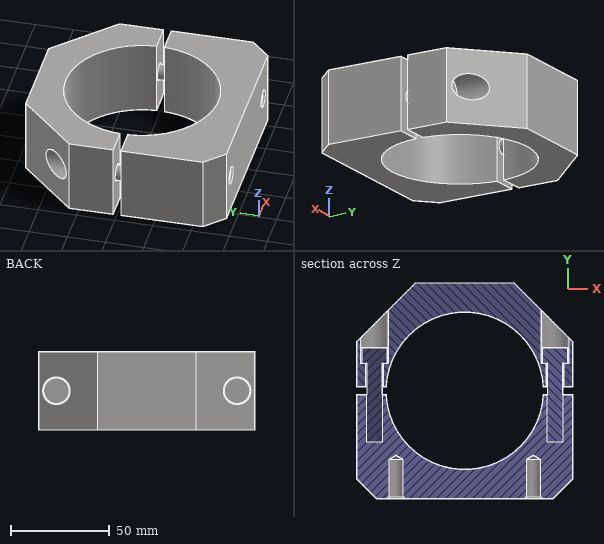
import cadquery as cq
import math

CLAMP_SIZE = 110.0
HALF_SIZE = CLAMP_SIZE / 2
THICKNESS = 40.0
BORE_DIAMETER = 80.0
SPLIT_GAP = 4.0
HALF_GAP = SPLIT_GAP / 2
BASE_CORNER_CHAMFER = 10.0
CAP_CORNER_CHAMFER = 30.0

SCREW_DIAMETER = 8.0
SCREW_X = 46.0
HEAD_DIAMETER = 13.0
HEAD_HEIGHT = 8.0
HEAD_SEAT_Y = 14.0
COUNTERBORE_DIAMETER = 14.0
CLEARANCE_DIAMETER = 9.0
SCREW_LENGTH = 40.0
SCREW_END_Y = HEAD_SEAT_Y - SCREW_LENGTH

MOUNT_X = 35.0
MOUNT_DRILL_DIAMETER = 7.0
MOUNT_MOUTH_DIAMETER = 9.0
MOUNT_DEPTH = 20.0
DRILL_POINT_ANGLE = 118.0

SIDES = (-1, 1)


def rod(diameter, x, start_y, end_y):
    """Cylinder parallel to Y between two Y positions."""
    length = end_y - start_y
    return cq.Workplane("XZ", origin=(x, start_y, 0)).circle(diameter / 2).extrude(-length)


def clamp_block(side, corner_chamfer):
    """One bored half of the clamp on the given side of the split, with its outer corners cut off."""
    corner_start = HALF_SIZE - corner_chamfer
    outline = [
        (-HALF_SIZE, side * HALF_GAP),
        (-HALF_SIZE, side * corner_start),
        (-corner_start, side * HALF_SIZE),
        (corner_start, side * HALF_SIZE),
        (HALF_SIZE, side * corner_start),
        (HALF_SIZE, side * HALF_GAP),
    ]
    block = cq.Workplane("XY").polyline(outline).close().extrude(THICKNESS / 2, both=True)
    bore = cq.Workplane("XY").circle(BORE_DIAMETER / 2).extrude(THICKNESS / 2, both=True)
    return block.cut(bore)


def mounting_hole(x):
    """Drilled hole with a 45 degree countersunk mouth and a conical bottom."""
    drill_radius = MOUNT_DRILL_DIAMETER / 2
    mouth_radius = MOUNT_MOUTH_DIAMETER / 2
    mouth_depth = mouth_radius - drill_radius
    point_length = drill_radius / math.tan(math.radians(DRILL_POINT_ANGLE / 2))
    profile = [
        (0, 0),
        (mouth_radius, 0),
        (drill_radius, mouth_depth),
        (drill_radius, MOUNT_DEPTH),
        (0, MOUNT_DEPTH + point_length),
    ]
    hole = cq.Workplane("XY").polyline(profile).close().revolve(360, (0, 0, 0), (0, 1, 0))
    return hole.translate((x, -HALF_SIZE, 0))


def make_base():
    """Half with the blind screw holes and the mounting holes."""
    base = clamp_block(-1, BASE_CORNER_CHAMFER)
    for side in SIDES:
        base = base.cut(rod(SCREW_DIAMETER, side * SCREW_X, SCREW_END_Y, 0))
        base = base.cut(mounting_hole(side * MOUNT_X))
    return base


def make_cap():
    """Half with the clearance holes and the counterbores that open through its sloped corners."""
    cap = clamp_block(1, CAP_CORNER_CHAMFER)
    for side in SIDES:
        cap = cap.cut(rod(CLEARANCE_DIAMETER, side * SCREW_X, 0, HEAD_SEAT_Y))
        cap = cap.cut(rod(COUNTERBORE_DIAMETER, side * SCREW_X, HEAD_SEAT_Y, HALF_SIZE))
    return cap


def make_screw(x):
    """Cap screw with its head seated on the counterbore floor."""
    shank = rod(SCREW_DIAMETER, x, SCREW_END_Y, HEAD_SEAT_Y)
    head = rod(HEAD_DIAMETER, x, HEAD_SEAT_Y, HEAD_SEAT_Y + HEAD_HEIGHT)
    return shank.union(head)


base = make_base()
cap = make_cap()
screws = [make_screw(side * SCREW_X).val() for side in SIDES]

result = cq.Compound.makeCompound([base.val(), cap.val(), *screws])